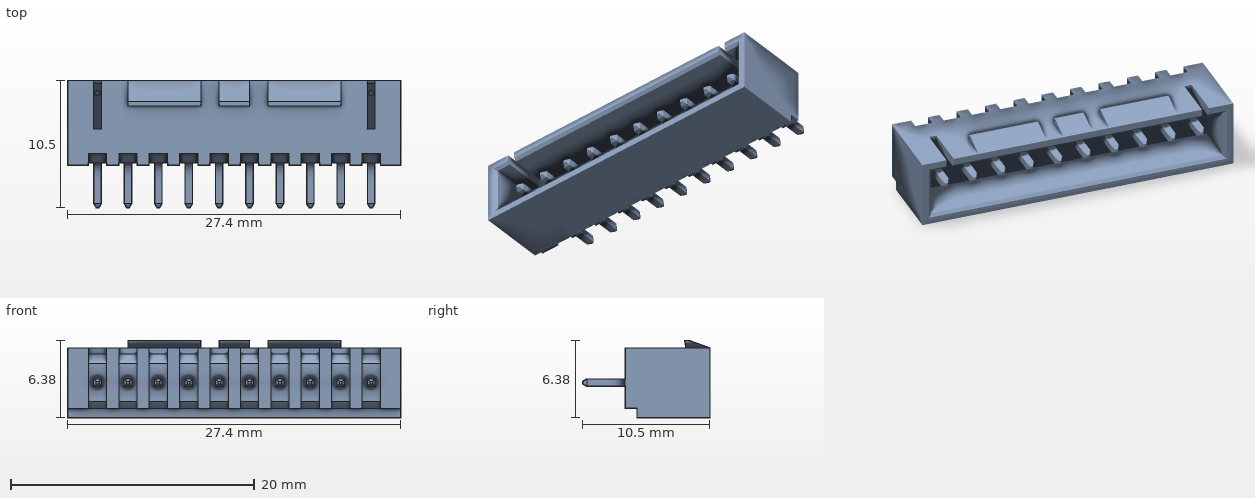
import cadquery as cq

length = 27.4
depth = 7.0
height = 5.75
front = 0.0
back = front + depth

pin_count = 10
row_length = 22.5
pitch = row_length / (pin_count - 1)
pin_width = 0.63
pin_z = 2.9
pin_tail = 3.5
tip_length = 0.35
tip_width = 0.22
pin_inset = 0.85

wall = 0.82
cavity_depth = 4.0
lead_in = 0.25
slot_width = pin_width

groove_width = 1.5
groove_depth = 0.95
pad_recess = 0.2
top_margin = 0.5
bottom_margin = 0.6
slope = groove_depth - pad_recess

step_height = 0.8

ridge_height = 0.63
ridge_crest = 1.75
ridge_depth = 2.1
ridge_undercut = 0.1
long_ridge = 6.0
short_ridge = 2.52
long_ridge_x = 5.75

pin_xs = [(i - (pin_count - 1) / 2) * pitch for i in range(pin_count)]


def box(x_size, y_start, y_end, z_start, z_end, x_center=0.0):
    """Box centered on x_center, given by its Y and Z limits."""
    return (
        cq.Workplane("XY")
        .box(x_size, y_end - y_start, z_end - z_start, centered=(True, False, False))
        .translate((x_center, y_start, z_start))
    )


def side_profile(points, x_size, x_center):
    """Extrude a (Y, Z) outline along X, centered on x_center."""
    return (
        cq.Workplane("YZ")
        .polyline(points)
        .close()
        .extrude(x_size / 2, both=True)
        .translate((x_center, 0, 0))
    )


def cavity():
    pocket = box(length - 2 * wall, back - cavity_depth, back, wall, height - wall)
    mouth = (
        cq.Workplane("XZ", origin=(0, back, height / 2))
        .rect(length - 2 * (wall - lead_in), height - 2 * (wall - lead_in))
        .workplane(offset=lead_in)
        .rect(length - 2 * wall, height - 2 * wall)
        .loft()
    )
    return pocket.union(mouth)


def groove(x_center):
    """Full-height groove that leaves a pad with sloped top and bottom around the pin."""
    bottom = front + groove_depth
    pad = front + pad_recess
    points = [
        (front, 0),
        (bottom, 0),
        (bottom, bottom_margin),
        (pad, bottom_margin + slope),
        (pad, height - top_margin - slope),
        (bottom, height - top_margin),
        (bottom, height),
        (front, height),
    ]
    return side_profile(points, groove_width, x_center)


def ridge(x_size, x_center):
    points = [
        (back, height),
        (back - ridge_crest, height + ridge_height),
        (back - ridge_depth, height + ridge_height),
        (back - ridge_depth + ridge_undercut, height),
    ]
    return side_profile(points, x_size, x_center)


def pin_tip(y_base, y_end):
    """Square taper from the pin section at y_base to the blunt end at y_end."""
    return (
        cq.Workplane("XZ", origin=(0, y_base, pin_z))
        .rect(pin_width, pin_width)
        .workplane(offset=y_base - y_end)
        .rect(tip_width, tip_width)
        .loft()
    )


def pin():
    tail_end = front - pin_tail
    inner_end = back - pin_inset
    tail_base = tail_end + tip_length
    inner_base = inner_end - tip_length
    shaft = box(pin_width, tail_base, inner_base, pin_z - pin_width / 2, pin_z + pin_width / 2)
    return shaft.union(pin_tip(tail_base, tail_end)).union(pin_tip(inner_base, inner_end))


housing = box(length, front, back, 0, height)
housing = housing.cut(box(length, front, front + groove_depth, 0, step_height))
housing = housing.cut(cavity())

for x in (pin_xs[0], pin_xs[-1]):
    housing = housing.cut(box(slot_width, back - cavity_depth, back, height - wall, height, x))

for x in pin_xs:
    housing = housing.cut(groove(x))

housing = housing.union(ridge(short_ridge, 0))
for x in (-long_ridge_x, long_ridge_x):
    housing = housing.union(ridge(long_ridge, x))

one_pin = pin()
for x in pin_xs:
    housing = housing.union(one_pin.translate((x, 0, 0)))

result = housing